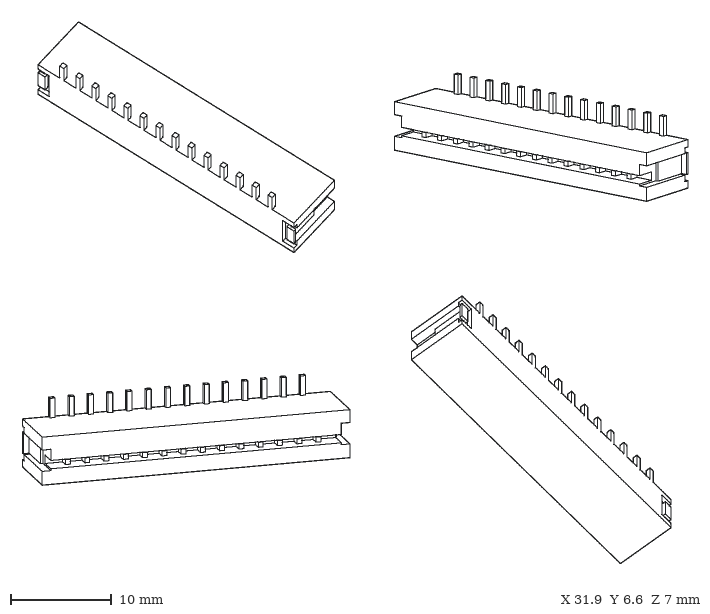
import cadquery as cq

length = 31.95
depth = 6.6
body_height = 5.0
total_height = 7.0

contact_count = 14
end_to_first_contact = 2.97
contact_pitch = (length - 2 * end_to_first_contact) / (contact_count - 1)
contact_size = 0.5
contact_reach = 0.95

slot_bottom = 1.63
slot_top = 2.5
slot_depth = 1.92

channel_bottom = 1.45
channel_top = 3.65
channel_shallow = 0.6
channel_deep = 0.9
channel_step_y = 4.03

pocket_length = 1.4
pocket_depth = 0.48
pocket_bottom = 0.77
pocket_top = 4.22
tab_thickness = 0.3

slot_floor_y = depth - slot_depth


def box(x_range, y_range, z_range):
    """Box spanning the given (low, high) ranges."""
    lows, highs = zip(x_range, y_range, z_range)
    sizes = [high - low for low, high in zip(lows, highs)]
    return cq.Workplane("XY").box(*sizes, centered=False).translate(lows)


def on_both_ends(left_end):
    """Add the copy of a left-end shape mirrored about the middle of the length."""
    return left_end.union(left_end.mirror("YZ", (length / 2, 0, 0)))


def end_recess():
    """Material removed from the left end: corner pocket and stepped channel, less the tab."""
    channel_z = (channel_bottom, channel_top)
    pocket = box((0, pocket_length), (0, pocket_depth), (pocket_bottom, pocket_top))
    shallow_part = box((0, channel_shallow), (0, channel_step_y), channel_z)
    deep_part = box((0, channel_deep), (channel_step_y, depth), channel_z)
    tab = box((0, channel_deep), (0, tab_thickness), channel_z)
    tab_root = box((channel_shallow, channel_deep), (tab_thickness, pocket_depth), channel_z)
    return pocket.union(shallow_part).union(deep_part).cut(tab).cut(tab_root)


def contact(center_x):
    """Upright tail flush with the -Y face and the post lying on the slot floor."""
    x_range = (center_x - contact_size / 2, center_x + contact_size / 2)
    tail = box(x_range, (0, contact_size), (body_height, total_height))
    post = box(
        x_range,
        (slot_floor_y, slot_floor_y + contact_reach),
        (slot_bottom, slot_bottom + contact_size),
    )
    return tail.union(post)


housing = box((0, length), (0, depth), (0, body_height))
housing = housing.cut(box((0, length), (slot_floor_y, depth), (slot_bottom, slot_top)))
housing = housing.cut(on_both_ends(end_recess()))

result = housing
for index in range(contact_count):
    result = result.union(contact(end_to_first_contact + index * contact_pitch))